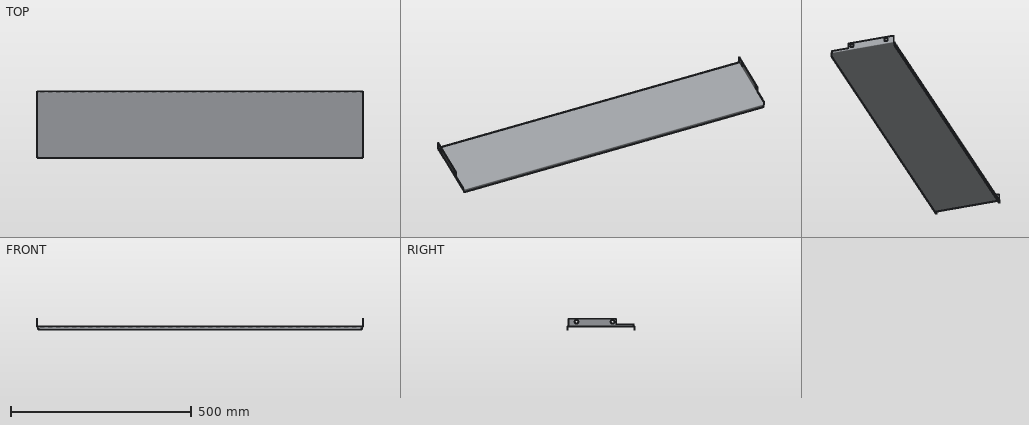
import cadquery as cq

length = 906.0
width = 186.0
height = 30.8

thickness = 1.2
bend_inner_radius = 1.0
bend_outer_radius = bend_inner_radius + thickness

lip_height = 10.0
lip_end_inset = bend_outer_radius
lip_corner_radius = 5.0

flange_height = height - lip_height + thickness
flange_low_height = 7.0
flange_front = -width / 2 + bend_outer_radius
flange_back = width / 2 - bend_outer_radius
flange_step = 42.5
flange_top_radius = 3.0
flange_low_radius = 2.5

hole_diameter = 10.0
hole_count = 2
hole_spacing = 100.0
hole_back = 32.0
hole_below_top = 8.8

plate_top = lip_height
plate_bottom = plate_top - thickness


def bent_strip(edge, rise, direction):
    """Half profile of the sheet: flat from the centre out to edge, then turned up (+1) or down (-1)."""
    inside = plate_top if direction > 0 else plate_bottom
    outside = plate_bottom if direction > 0 else plate_top
    tip = outside + direction * rise
    bend_start = edge - bend_outer_radius
    bend_end = outside + direction * bend_outer_radius
    return (
        cq.Workplane("XZ")
        .moveTo(0, outside)
        .lineTo(bend_start, outside)
        .radiusArc((edge, bend_end), -direction * bend_outer_radius)
        .lineTo(edge, tip)
        .lineTo(edge - thickness, tip)
        .lineTo(edge - thickness, bend_end)
        .radiusArc((bend_start, inside), direction * bend_inner_radius)
        .lineTo(0, inside)
        .close()
    )


def make_lip_half():
    """Front half of the plate with its downturned lip, lower lip corners rounded."""
    lip_length = length - 2 * lip_end_inset
    half = (
        bent_strip(width / 2, lip_height, -1)
        .extrude(lip_length / 2, both=True)
        .rotate((0, 0, 0), (0, 0, 1), -90)
    )
    lip_corners = half.edges("|Y and <Z")
    return lip_corners.fillet(lip_corner_radius)


def make_flange_outline():
    """Stepped end-flange outline in the YZ plane, with the corners rounded."""
    step_top = plate_bottom + flange_low_height
    return (
        cq.Workplane("YZ")
        .moveTo(flange_front, 0)
        .lineTo(flange_front, height - flange_top_radius)
        .radiusArc((flange_front + flange_top_radius, height), flange_top_radius)
        .lineTo(flange_step - flange_top_radius, height)
        .radiusArc((flange_step, height - flange_top_radius), flange_top_radius)
        .lineTo(flange_step, step_top)
        .lineTo(flange_back - flange_low_radius, step_top)
        .radiusArc((flange_back, step_top - flange_low_radius), flange_low_radius)
        .lineTo(flange_back, 0)
        .close()
        .extrude(length, both=True)
    )


def make_holes():
    """Pair of round hole cutters along X."""
    hole_z = height - hole_below_top
    centers = [(hole_back - i * hole_spacing, hole_z) for i in range(hole_count)]
    return (
        cq.Workplane("YZ")
        .pushPoints(centers)
        .circle(hole_diameter / 2)
        .extrude(length, both=True)
    )


def make_flange_half():
    """Plate half with its upturned end flange on the +X side."""
    strip = bent_strip(length / 2, flange_height, 1).extrude(width / 2, both=True)
    return strip.intersect(make_flange_outline()).cut(make_holes())


lip_half = make_lip_half()
flange_half = make_flange_half()

result = (
    lip_half
    .union(lip_half.mirror("XZ"))
    .union(flange_half)
    .union(flange_half.mirror("YZ"))
)